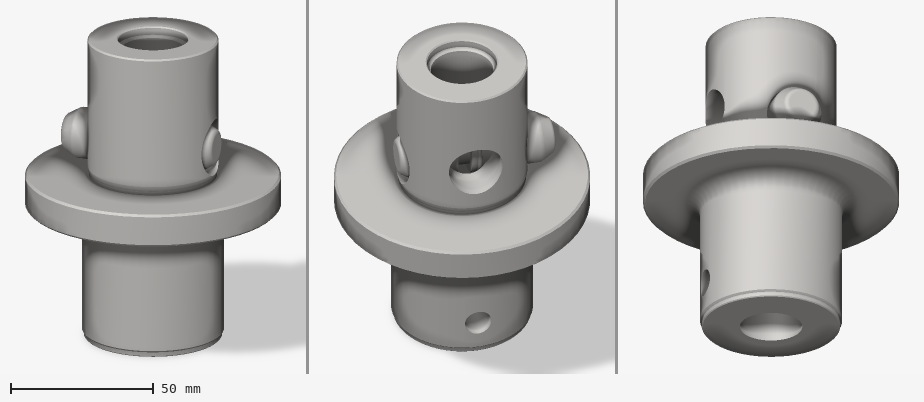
import cadquery as cq
import math

total_height = 110.0
flange_bottom = 48.1
flange_top = 60.0
spigot_height = 2.4

flange_radius = 45.0
shank_radius = 25.0
post_radius = 23.0
spigot_radius = 24.3
flange_chamfer = 0.8
shank_fillet = 5.0
post_chamfer = 0.5
spigot_chamfer = 0.3

relief_height = 2.8
relief_depth = 0.4
relief_floor_height = 0.9
relief_reach = 0.9
relief_sink = 0.3

bore_radius = 11.0
seat_radius = 12.3
seat_depth = 3.0
seat_cone_height = 0.8
seat_chamfer = 0.4

pin_height = 72.0
pin_radius = 9.0
pin_length = 56.1
pin_center_x = -4.4
pin_cone_length = 5.3
pin_cone_angle = 30.0
pin_edge_round = 2.0
neck_radius = 5.9
neck_width = 5.0
neck_center_x = 0.9
neck_clearance = 1.1

pin_hole_radius = 9.1
countersink_depth = 2.0
countersink_angle = 30.0

ring_section_radius = 0.8
ring_center_radius = 9.0

post_hole_radius = 9.7
post_hole_height = 78.3
shank_hole_radius = 4.7
shank_hole_height = 13.0


def housing_blank():
    """Revolved flange with the post above it and the shank below it."""
    step = shank_radius - spigot_radius
    blank = (
        cq.Workplane("XZ")
        .moveTo(0, 0)
        .lineTo(spigot_radius - spigot_chamfer, 0)
        .lineTo(spigot_radius, spigot_chamfer)
        .lineTo(spigot_radius, spigot_height - step)
        .lineTo(shank_radius, spigot_height)
        .lineTo(shank_radius, flange_bottom - shank_fillet)
        .radiusArc((shank_radius + shank_fillet, flange_bottom), shank_fillet)
        .lineTo(flange_radius - flange_chamfer, flange_bottom)
        .lineTo(flange_radius, flange_bottom + flange_chamfer)
        .lineTo(flange_radius, flange_top - flange_chamfer)
        .lineTo(flange_radius - flange_chamfer, flange_top)
        .lineTo(post_radius + relief_reach, flange_top)
        .lineTo(post_radius - relief_depth, flange_top - relief_sink)
        .lineTo(post_radius - relief_depth, flange_top + relief_floor_height)
        .lineTo(post_radius, flange_top + relief_height)
        .lineTo(post_radius, total_height - post_chamfer)
        .lineTo(post_radius - post_chamfer, total_height)
        .lineTo(0, total_height)
        .close()
    )
    return blank.revolve(360, (0, 0), (0, 1))


def bore_cutter():
    """Through bore, widened at the top into a seat with a conical floor."""
    seat_floor = total_height - seat_depth
    cutter = (
        cq.Workplane("XZ")
        .moveTo(0, 0)
        .lineTo(bore_radius, 0)
        .lineTo(bore_radius, seat_floor - seat_cone_height)
        .lineTo(seat_radius, seat_floor)
        .lineTo(seat_radius, total_height - seat_chamfer)
        .lineTo(seat_radius + seat_chamfer, total_height)
        .lineTo(0, total_height)
        .close()
    )
    return cutter.revolve(360, (0, 0), (0, 1))


def pin_hole_cutter():
    """Cross hole along X, with a slim countersink on both sides of the post."""
    mouth_x = post_radius
    throat_x = mouth_x - countersink_depth
    flare = countersink_depth * math.tan(math.radians(countersink_angle))
    mouth_radius = pin_hole_radius + flare
    cutter = (
        cq.Workplane("XZ")
        .moveTo(-mouth_x, 0)
        .lineTo(-mouth_x, mouth_radius)
        .lineTo(-throat_x, pin_hole_radius)
        .lineTo(throat_x, pin_hole_radius)
        .lineTo(mouth_x, mouth_radius)
        .lineTo(mouth_x, 0)
        .close()
    )
    return cutter.revolve(360, (0, 0), (1, 0)).translate((0, 0, pin_height))


def side_hole_cutter(radius, height):
    """Radial hole from the bore axis out through the +Y side."""
    return (
        cq.Workplane("XZ", origin=(0, 0, height))
        .circle(radius)
        .extrude(-flange_radius)
    )


def make_housing():
    housing = housing_blank().cut(bore_cutter()).cut(pin_hole_cutter())
    housing = housing.cut(side_hole_cutter(post_hole_radius, post_hole_height))
    return housing.cut(side_hole_cutter(shank_hole_radius, shank_hole_height))


def make_ring():
    """Round-section ring around the pin axis."""
    ring = cq.Solid.makeTorus(
        ring_center_radius,
        ring_section_radius,
        cq.Vector(pin_center_x, 0, pin_height),
        cq.Vector(1, 0, 0),
    )
    return cq.Workplane(ring)


def make_pin(ring):
    """Round pin with rounded conical ends, a neck and a groove for the ring."""
    half_length = pin_length / 2
    shoulder = half_length - pin_cone_length
    tip_radius = pin_radius - pin_cone_length * math.tan(math.radians(pin_cone_angle))
    pin = (
        cq.Workplane("XZ")
        .moveTo(-half_length, 0)
        .lineTo(-half_length, tip_radius)
        .lineTo(-shoulder, pin_radius)
        .lineTo(shoulder, pin_radius)
        .lineTo(half_length, tip_radius)
        .lineTo(half_length, 0)
        .close()
        .revolve(360, (0, 0), (1, 0))
        .edges("%CIRCLE")
        .fillet(pin_edge_round)
        .translate((pin_center_x, 0, pin_height))
    )
    neck_groove = (
        cq.Workplane("YZ", origin=(neck_center_x - neck_width / 2, 0, pin_height))
        .circle(pin_radius + neck_clearance)
        .circle(neck_radius)
        .extrude(neck_width)
    )
    return pin.cut(neck_groove).cut(ring)


housing = make_housing()
ring = make_ring()
pin = make_pin(ring)

result = cq.Compound.makeCompound([housing.val(), pin.val(), ring.val()])